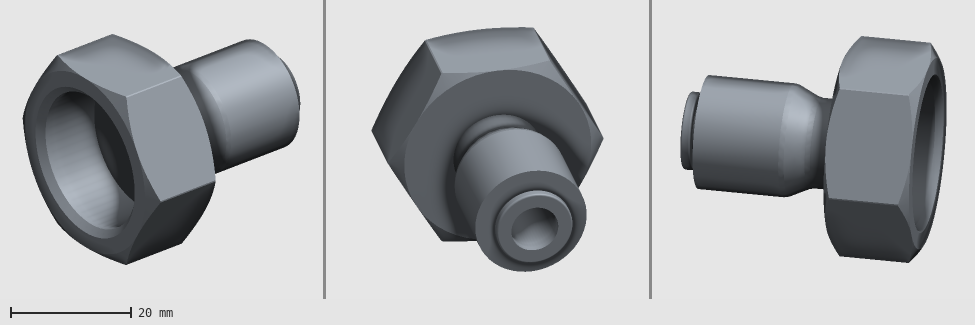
import cadquery as cq
import math

across_flats = 32.0
corner_diameter = 36.8
nut_length = 14.5
nut_chamfer_angle = 30

socket_diameter = 24.1
socket_mouth_diameter = 26.45
socket_depth = 11.5
passage_diameter = 8.0

neck_diameter = 15.15
neck_end = 18.93
body_diameter = 19.05
body_start = 23.0
body_end = 37.97
shoulder_blend = 2.05
collar_diameter = 9.2
ring_diameter = 13.02
ring_thickness = 1.63
ring_edge_radius = 0.33
total_length = 40.7

joint_overlap = 0.4


def revolve_profile(points):
    """Revolve a closed (radius, y) outline around the Y axis."""
    return cq.Workplane("XY").polyline(points).close().revolve(360, (0, 0), (0, 1))


def rod(diameter, start, end):
    """Solid cylinder on the Y axis."""
    radius = diameter / 2
    return revolve_profile([(0, start), (radius, start), (radius, end), (0, end)])


def make_nut():
    corner_to_corner = across_flats / math.cos(math.pi / 6)
    hexagon = cq.Workplane("XZ").polygon(6, corner_to_corner).extrude(-nut_length)
    flat_radius = across_flats / 2
    corner_radius = corner_diameter / 2
    chamfer_drop = (corner_radius - flat_radius) * math.tan(math.radians(nut_chamfer_angle))
    envelope = revolve_profile([
        (0, 0),
        (flat_radius, 0),
        (corner_radius, chamfer_drop),
        (corner_radius, nut_length - chamfer_drop),
        (flat_radius, nut_length),
        (0, nut_length),
    ])
    return hexagon.intersect(envelope)


def make_stem():
    neck_radius = neck_diameter / 2
    body_radius = body_diameter / 2
    stem = revolve_profile([
        (0, socket_depth),
        (neck_radius, socket_depth),
        (neck_radius, neck_end),
        (body_radius, body_start),
        (body_radius, body_end),
        (0, body_end),
    ])
    shoulder_edges = cq.selectors.BoxSelector(
        (-body_diameter, neck_end - joint_overlap, -body_diameter),
        (body_diameter, body_start + joint_overlap, body_diameter),
    )
    return stem.edges(shoulder_edges).edges("%CIRCLE").fillet(shoulder_blend)


def make_release_ring():
    ring = rod(ring_diameter, total_length - ring_thickness, total_length)
    ring = ring.edges("%CIRCLE").fillet(ring_edge_radius)
    collar_end = total_length - ring_thickness / 2
    collar = rod(collar_diameter, body_end - joint_overlap, collar_end)
    return ring.union(collar)


def make_socket():
    socket_radius = socket_diameter / 2
    mouth_radius = socket_mouth_diameter / 2
    mouth_depth = mouth_radius - socket_radius
    return revolve_profile([
        (0, 0),
        (mouth_radius, 0),
        (socket_radius, mouth_depth),
        (socket_radius, socket_depth),
        (0, socket_depth),
    ])


result = (
    make_nut()
    .union(make_stem())
    .union(make_release_ring())
    .cut(make_socket())
    .cut(rod(passage_diameter, 0, total_length))
)